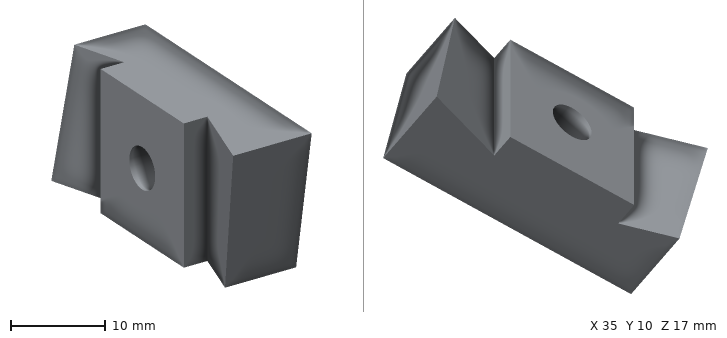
import cadquery as cq

length = 35.0
depth = 10.0
height = 17.0

end_shift = 3.0

pad_width = 16.0
pad_step = 3.0

hole_diameter = 5.0

half_length = length / 2
half_pad = pad_width / 2


def winged_bar():
    """Full-length bar: a centre pad flanked by wings that rise to sharp tips."""
    outline = [
        (-half_length, 0),
        (-half_pad, pad_step),
        (-half_pad, 0),
        (half_pad, 0),
        (half_pad, pad_step),
        (half_length, 0),
        (half_length, depth),
        (-half_length, depth),
    ]
    return cq.Workplane("XY").polyline(outline).close().extrude(height)


def slanted_block():
    """Parallelogram envelope that gives the bar its two leaning ends."""
    outline = [
        (-half_length, 0),
        (half_length - end_shift, 0),
        (half_length, height),
        (-half_length + end_shift, height),
    ]
    return cq.Workplane("XZ").polyline(outline).close().extrude(-depth)


def through_hole():
    """Round hole along Y through the middle of the pad."""
    return (
        cq.Workplane("XZ")
        .center(0, height / 2)
        .circle(hole_diameter / 2)
        .extrude(-depth)
    )


result = winged_bar().intersect(slanted_block()).cut(through_hole())